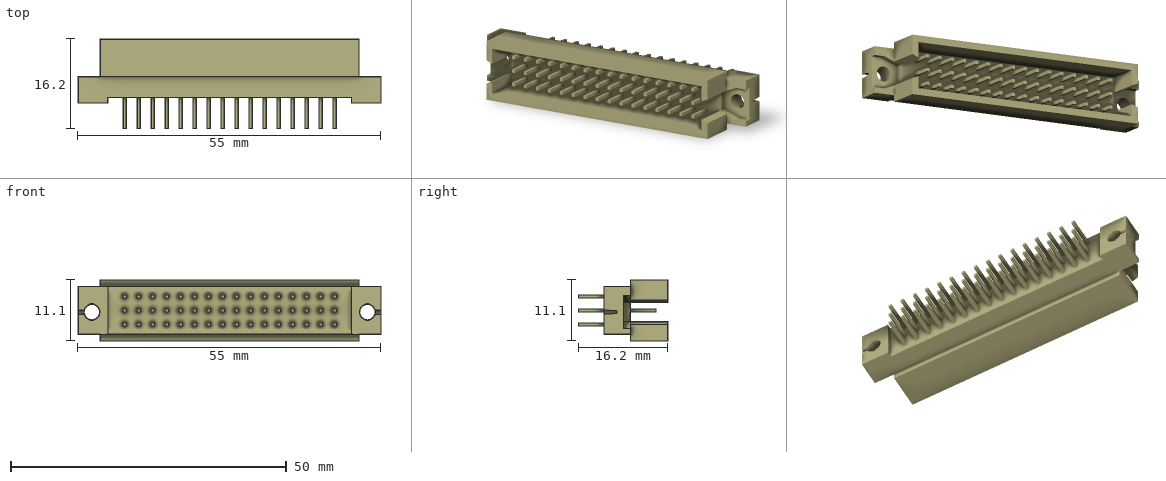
import cadquery as cq
import math


flange_length = 55.0
flange_height = 8.7
flange_depth = 4.8
pad_length = 5.4
pad_step = 1.0

shroud_length = 47.0
shroud_height = 11.1
shroud_depth = 6.8
shroud_wall = 1.25

hole_spacing = 50.0
hole_diameter = 2.8
fixing_z = -0.3
slit_depth = 2.4
slit_mouth = 0.8
slit_tip_radius = 0.25
keyway_width = 0.6
keyway_span = 3.1

window_outer_height = 6.0
window_inner_height = 3.5
window_straight = 2.0
window_floor = 1.25

pin_columns = 16
pin_rows = 3
pin_pitch = 2.54
pin_size = 0.6
pin_end_y = -4.65
pin_tip_gap = 2.15

half_flange = flange_length / 2
shroud_rim_y = flange_depth + shroud_depth
cavity_length = shroud_length - 2 * shroud_wall
cavity_height = shroud_height - 2 * shroud_wall
window_floor_y = flange_depth - window_floor
ends = (-1, 1)


def block(length, height, y_start, y_end):
    """Box centred on X and Z between two Y positions."""
    depth = y_end - y_start
    return cq.Workplane("XY").box(length, depth, height).translate((0, y_start + depth / 2, 0))


def extrude_y(outline, y_start, y_end):
    """Closed XZ outline extruded from y_start to y_end."""
    plane = cq.Workplane("XZ", origin=(0, y_end, 0))
    return plane.polyline(outline).close().extrude(y_end - y_start)


def make_body():
    """Flange with raised end pads, and the hollow shroud behind it."""
    flange = block(flange_length, flange_height, 0, flange_depth)
    pin_face_recess = block(flange_length - 2 * pad_length, flange_height, 0, pad_step)
    shroud = block(shroud_length, shroud_height, flange_depth, shroud_rim_y)
    cavity = block(cavity_length, cavity_height, flange_depth, shroud_rim_y)
    return flange.cut(pin_face_recess).union(shroud.cut(cavity))


def make_window(end):
    """Tapered window at one end, from inside the flange to the shroud rim."""
    outer_x = end * half_flange
    taper_x = end * (half_flange - window_straight)
    inner_x = end * cavity_length / 2
    top_outer = fixing_z + window_outer_height / 2
    top_inner = fixing_z + window_inner_height / 2
    bottom_inner = fixing_z - window_inner_height / 2
    bottom_outer = fixing_z - window_outer_height / 2
    outline = [
        (outer_x, top_outer),
        (taper_x, top_outer),
        (inner_x, top_inner),
        (inner_x, bottom_inner),
        (taper_x, bottom_outer),
        (outer_x, bottom_outer),
    ]
    return extrude_y(outline, window_floor_y, shroud_rim_y)


def make_screw_hole(end):
    """Through hole with a shallow groove at its top and bottom."""
    plane = cq.Workplane("XZ", origin=(end * hole_spacing / 2, 0, fixing_z))
    hole = plane.circle(hole_diameter / 2).extrude(-flange_depth)
    keyways = plane.rect(keyway_width, keyway_span).extrude(-slit_depth)
    return hole.union(keyways)


def make_slit(end):
    """Tapered slit with a round tip, from the screw hole out to the flange end."""
    tip_center = slit_depth - slit_tip_radius
    half_mouth = slit_mouth / 2
    flank_angle = math.atan2(half_mouth, tip_center) - math.asin(
        slit_tip_radius / math.hypot(half_mouth, tip_center)
    )
    tangent_y = tip_center + slit_tip_radius * math.sin(flank_angle)
    tangent_z = slit_tip_radius * math.cos(flank_angle)
    length = half_flange - hole_spacing / 2
    profile = (
        cq.Workplane("YZ", origin=(hole_spacing / 2, 0, fixing_z))
        .moveTo(0, half_mouth)
        .lineTo(tangent_y, tangent_z)
        .threePointArc((slit_depth, 0), (tangent_y, -tangent_z))
        .lineTo(0, -half_mouth)
        .close()
    )
    slit = profile.extrude(length)
    return slit if end > 0 else slit.mirror("YZ")


def make_pins():
    """Grid of square pins running through the flange."""
    length = shroud_rim_y - pin_tip_gap - pin_end_y
    return (
        cq.Workplane("XZ", origin=(0, pin_end_y, 0))
        .rarray(pin_pitch, pin_pitch, pin_columns, pin_rows)
        .rect(pin_size, pin_size)
        .extrude(-length)
    )


body = make_body()
for end in ends:
    body = body.cut(make_window(end))
    body = body.cut(make_screw_hole(end))
    body = body.cut(make_slit(end))

result = body.union(make_pins())